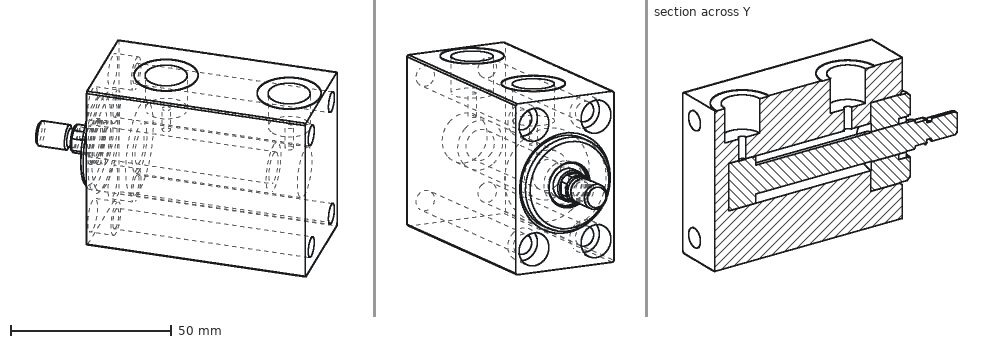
import cadquery as cq


TOTAL_LENGTH = 92.0
HOUSING_WIDTH = 35.0
HOUSING_HEIGHT = 55.0
HOUSING_FRONT = 20.8
HOUSING_LENGTH = TOTAL_LENGTH - HOUSING_FRONT
EDGE_CHAMFER = 0.55

MOUNT_SPACING_Y = 22.0
MOUNT_SPACING_Z = 40.0
MOUNT_DIAMETER = 6.5
MOUNT_COUNTERBORE_DIAMETER = 10.6
MOUNT_COUNTERBORE_DEPTH = 7.5

PORT_XS = (41.5, 81.5)
PORT_DIAMETER = 13.2
PORT_DEPTH = 12.0
SPOTFACE_DIAMETER = 20.0
SPOTFACE_DEPTH = 0.2
OIL_DUCT_DIAMETER = 2.6

GLAND_DIAMETER = 30.1
GLAND_FRONT = 17.85
GLAND_DEPTH = 12.0
GLAND_CHAMFER = 1.1
GLAND_END = HOUSING_FRONT + GLAND_DEPTH
SEAT_CHAMFER = 1.0

RECESS_DIAMETER = 14.5
RECESS_DEPTH = 0.7
WIPER_DIAMETER = 13.8
WIPER_SINK = 0.7
WIPER_LENGTH = 2.8
WIPER_FRONT = GLAND_FRONT + RECESS_DEPTH + WIPER_SINK
WIPER_END = WIPER_FRONT + WIPER_LENGTH

THREAD_RADIUS = 4.0
THREAD_END = 9.6
TIP_CHAMFER = 0.7
NECK_RADIUS = 2.9
NECK_START = 10.0
NECK_END = 11.5
COLLAR_EDGE_RADIUS = THREAD_RADIUS
COLLAR_RADIUS = 4.5
FLATS_START = 12.05
FLATS_END = 15.9
ACROSS_FLATS = 8.0
ROD_RADIUS = 5.01
ROD_START = 16.4
BORE_DIAMETER = 16.0
BORE_END = 86.5
PISTON_LENGTH = 10.1
PISTON_START = BORE_END - PISTON_LENGTH


def x_cylinder(diameter, start, end):
    """Cylinder on the X axis between two X positions."""
    return cq.Workplane("YZ", origin=(start, 0, 0)).circle(diameter / 2).extrude(end - start)


def x_revolution(profile):
    """Solid turned about the X axis from a half profile of (x, radius) points."""
    return cq.Workplane("XY").polyline(profile).close().revolve(360, (0, 0, 0), (1, 0, 0))


def z_cylinder(diameter, x, bottom, top):
    """Vertical cylinder at Y = 0 between two heights."""
    return cq.Workplane("XY", origin=(x, 0, bottom)).circle(diameter / 2).extrude(top - bottom)


def cut_mounting_holes(block):
    """Four counterbored through holes, entered from the front face."""
    return (
        block.faces("<X").workplane(centerOption="CenterOfBoundBox")
        .rect(MOUNT_SPACING_Y, MOUNT_SPACING_Z, forConstruction=True).vertices()
        .cboreHole(MOUNT_DIAMETER, MOUNT_COUNTERBORE_DIAMETER, MOUNT_COUNTERBORE_DEPTH)
    )


def cut_port(block, x):
    """Spotfaced port in the top face with a narrow duct down into the bore."""
    top = HOUSING_HEIGHT / 2
    block = block.cut(z_cylinder(SPOTFACE_DIAMETER, x, top - SPOTFACE_DEPTH, top))
    block = block.cut(z_cylinder(PORT_DIAMETER, x, top - PORT_DEPTH, top))
    return block.cut(z_cylinder(OIL_DUCT_DIAMETER, x, 0, top))


def make_housing():
    block = (
        cq.Workplane("YZ", origin=(HOUSING_FRONT, 0, 0))
        .rect(HOUSING_WIDTH, HOUSING_HEIGHT).extrude(HOUSING_LENGTH)
        .edges("|X").chamfer(EDGE_CHAMFER)
    )
    block = cut_mounting_holes(block)
    seat_profile = [
        (HOUSING_FRONT, 0),
        (HOUSING_FRONT, GLAND_DIAMETER / 2 + SEAT_CHAMFER),
        (HOUSING_FRONT + SEAT_CHAMFER, GLAND_DIAMETER / 2),
        (GLAND_END, GLAND_DIAMETER / 2),
        (GLAND_END, 0),
    ]
    seat = x_revolution(seat_profile)
    bore = x_cylinder(BORE_DIAMETER, GLAND_END, BORE_END)
    block = block.cut(seat).cut(bore)
    for x in PORT_XS:
        block = cut_port(block, x)
    return block


def make_gland():
    recess = x_cylinder(RECESS_DIAMETER, GLAND_FRONT, GLAND_FRONT + RECESS_DEPTH)
    wiper_seat = x_cylinder(WIPER_DIAMETER, GLAND_FRONT, WIPER_END)
    rod_hole = x_cylinder(2 * ROD_RADIUS, GLAND_FRONT, GLAND_END)
    return (
        x_cylinder(GLAND_DIAMETER, GLAND_FRONT, GLAND_END)
        .faces("<X").chamfer(GLAND_CHAMFER)
        .cut(recess).cut(wiper_seat).cut(rod_hole)
    )


def make_wiper():
    return x_cylinder(WIPER_DIAMETER, WIPER_FRONT, WIPER_END).cut(
        x_cylinder(2 * ROD_RADIUS, WIPER_FRONT, WIPER_END)
    )


def make_piston_rod():
    profile = [
        (0, 0),
        (0, THREAD_RADIUS - TIP_CHAMFER),
        (TIP_CHAMFER, THREAD_RADIUS),
        (THREAD_END, THREAD_RADIUS),
        (NECK_START, NECK_RADIUS),
        (NECK_END, NECK_RADIUS),
        (NECK_END, COLLAR_EDGE_RADIUS),
        (FLATS_START, COLLAR_RADIUS),
        (FLATS_END, COLLAR_RADIUS),
        (ROD_START, ROD_RADIUS),
        (PISTON_START, ROD_RADIUS),
        (PISTON_START, BORE_DIAMETER / 2),
        (BORE_END, BORE_DIAMETER / 2),
        (BORE_END, 0),
    ]
    rod = x_revolution(profile)
    flats_cutter = (
        cq.Workplane("YZ", origin=(FLATS_START, 0, 0))
        .circle(2 * COLLAR_RADIUS).rect(ACROSS_FLATS, ACROSS_FLATS)
        .extrude(FLATS_END - FLATS_START)
    )
    return rod.cut(flats_cutter)


housing = make_housing()
gland = make_gland()
wiper = make_wiper()
piston_rod = make_piston_rod()

result = cq.Compound.makeCompound([housing.val(), gland.val(), wiper.val(), piston_rod.val()])